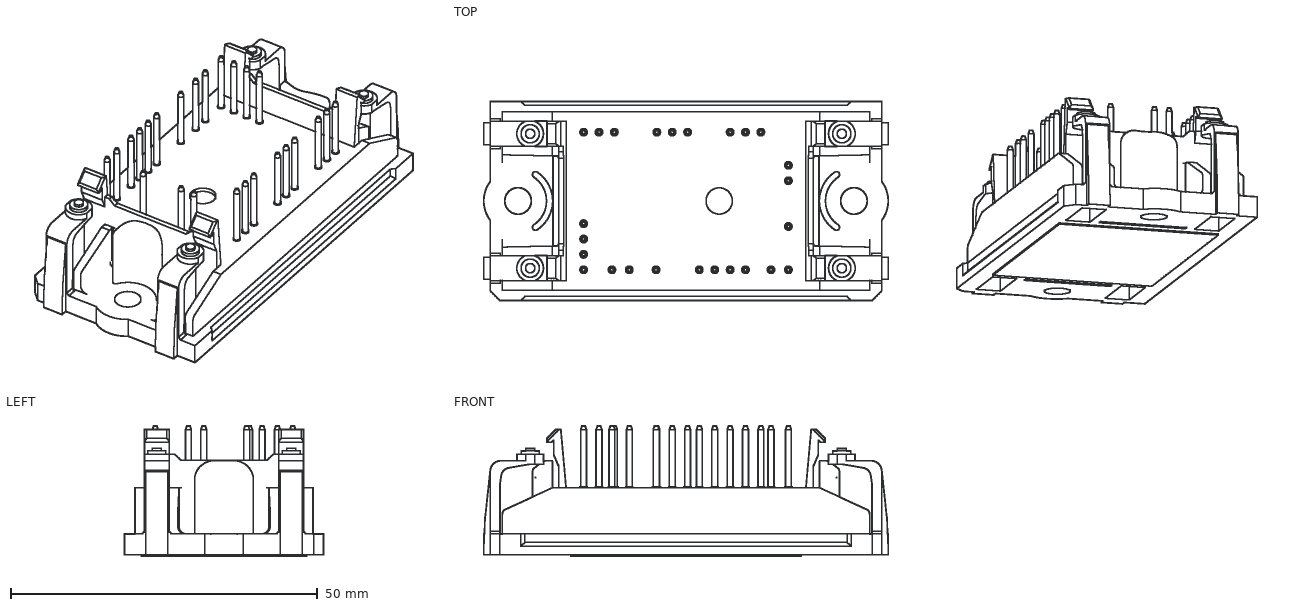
import cadquery as cq
import math

plate_height = 0.2
base_top = 3.6
body_top = 11.15
pin_top = 21.25

base_length = 63.9
base_width = 32.5
corner_chamfer = 1.6
lug_tip_x = 33.0
lug_half_width = 3.2
screw_hole_x = 27.4
screw_hole_diameter = 4.3
groove_length = 53.85
groove_floor = 1.6
groove_depth = 0.65

plate_length = 37.6
plate_width = 27.05

body_length = 59.9
body_width = 29.05
shoulder_x = 21.8
slope_end_z = 7.4
slope_fillet = 0.8
end_wall_x = 20.8
rib_tip_inner_y = 7.5
rib_root_inner_y = 7.3
rib_foot_radius = 1.2
rib_root_radius = 0.3
slit_width = 0.85
dimple_x = 5.4
dimple_diameter = 4.3
dimple_depth = 0.65

arm_width = 4.1
arm_y = 10.95
pocket_end_x = 29.95

leg_outer_x = base_length / 2
leg_inner_x = 30.3
arm_top = 15.6
arm_bottom = 15.0
arm_root_bottom = 14.2
leg_taper_start = 11.9
bracket_outer_corner = 1.8
bracket_inner_corner = 1.45
wedge_width = 3.6
wedge_top = 14.0
wedge_bend_lower_x = 32.8
wedge_bend_lower_z = 6.2
wedge_bend_upper_x = 32.75
wedge_bend_upper_z = 6.6
leg_foot_size = 0.4
boss_x = 25.4
boss_diameter = 4.35
boss_top = 16.6
collar_diameter = 3.0
collar_top = 17.15
stud_diameter = 1.5
stud_top = 17.55

latch_inner_x = 19.55
latch_top = 20.65
latch_tip_inner_x = 20.4
latch_peak_x = 21.25
hook_tip_x = 22.7
hook_tip_z = 19.2
hook_bottom = 18.55
hook_root_x = 22.0
hook_root_z = 18.9
latch_outer_x = 21.6
latch_shoulder_z = 16.5
latch_neck_z = 14.65
hook_side_chamfer = 0.4
curtain_top = 15.65
curtain_shoulder = 16.6
curtain_step_low_y = 7.0
curtain_step_high_y = 8.05

guard_radius = 5.15
guard_thickness = 1.0
guard_end_y = 4.3
guard_window_width = 9.65
guard_top = 15.6
guard_corner = 3.25
guard_edge_radius = 0.2

pin_diameter = 1.0
pin_foot_diameter = 1.2
pin_foot_height = 0.1
pin_tip_diameter = 0.5
pin_tip_height = 0.65
pin_pitch = 2.5
pin_row_y = 11.2
pin_column_x = 16.7
far_row_group_starts = [-pin_column_x, -4.75, 7.2]
far_row_group_size = 3
near_row_group_start = 2.2
near_row_group_size = 4
near_row_single_x = [-12.1, -9.25, -4.9, 13.85, pin_column_x]
left_column_size = 4
right_column_top_y = 5.8
right_column_y = [right_column_top_y, right_column_top_y - pin_pitch, -4.15]


def block(x0, x1, y0, y1, z0, z1):
    """Box given by its limits along each axis."""
    return cq.Workplane("XY").box(x1 - x0, y1 - y0, z1 - z0, centered=False).translate((x0, y0, z0))


def slab(points, y, width):
    """Closed XZ outline extruded along Y, centred on the given y."""
    return cq.Workplane("XZ", origin=(0, y + width / 2, 0)).polyline(points).close().extrude(width)


def disc(x, y, z0, z1, diameter):
    """Upright cylinder between two heights."""
    return cq.Workplane("XY", origin=(x, y, z0)).circle(diameter / 2).extrude(z1 - z0)


def both_ends(shape):
    """The shape and its mirror image across the YZ plane."""
    return shape.union(shape.mirror("YZ"))


def both_sides(shape):
    """The shape and its mirror image across the XZ plane."""
    return shape.union(shape.mirror("XZ"))


def make_base():
    height = base_top - plate_height
    base = cq.Workplane("XY", origin=(0, 0, plate_height)).rect(base_length, base_width).extrude(height)
    base = base.edges("|Z and <Y").chamfer(corner_chamfer)
    lug = (
        cq.Workplane("XY", origin=(0, 0, plate_height))
        .moveTo(-base_length / 2, lug_half_width)
        .threePointArc((-lug_tip_x, 0), (-base_length / 2, -lug_half_width))
        .close()
        .extrude(height)
    )
    groove_height = 2 * base_top
    groove = (
        cq.Workplane("XZ", origin=(0, base_width / 2, groove_floor + groove_height / 2))
        .rect(groove_length, groove_height)
        .extrude(groove_depth, taper=45)
    )
    base = base.union(both_ends(lug)).cut(both_sides(groove))
    plate = cq.Workplane("XY").rect(plate_length, plate_width).extrude(plate_height)
    return base.union(plate)


def make_body():
    half = body_length / 2
    outline = [
        (-half, base_top),
        (-half, slope_end_z),
        (-shoulder_x, body_top),
        (shoulder_x, body_top),
        (half, slope_end_z),
        (half, base_top),
    ]
    body = slab(outline, 0, body_width)
    toe = cq.selectors.BoxSelector((-half - 0.65, -half, slope_end_z - 0.65), (half + 0.65, half, slope_end_z + 0.65))
    body = body.edges("|Y").edges(toe).fillet(slope_fillet)
    bay_outline = [
        (-half, -rib_tip_inner_y),
        (-half, rib_tip_inner_y),
        (-end_wall_x, rib_root_inner_y),
        (-end_wall_x, -rib_root_inner_y),
    ]
    bay = cq.Workplane("XY", origin=(0, 0, base_top)).polyline(bay_outline).close()
    bay = bay.extrude(body_top - base_top)
    bay = bay.faces("<Z").edges("<Y or >Y").fillet(rib_foot_radius)
    dimple = disc(dimple_x, 0, body_top - dimple_depth, body_top, dimple_diameter)
    return body.cut(both_ends(bay)).cut(dimple)


def make_end_openings():
    """Screw hole, slit and spring pockets, all passing through the base."""
    hole = disc(-screw_hole_x, 0, 0, body_top, screw_hole_diameter)
    slit_half = rib_root_inner_y
    slit_top = base_top + rib_foot_radius
    slit = block(-end_wall_x - slit_width, -end_wall_x, -slit_half, slit_half, 0, slit_top)
    arm_half = arm_width / 2
    pocket = block(-pocket_end_x, -end_wall_x, arm_y - arm_half, arm_y + arm_half, 0, body_top)
    return both_ends(hole.union(slit).union(both_sides(pocket)))


def make_rib_root():
    """Concave upright fillet where a rib meets the end wall."""
    x0 = -end_wall_x - rib_root_radius
    y0 = rib_root_inner_y - rib_root_radius
    corner = block(x0, -end_wall_x, y0, rib_root_inner_y, base_top, body_top)
    return corner.cut(disc(x0, y0, base_top, body_top, 2 * rib_root_radius))


def make_bracket():
    outline = [
        (-leg_outer_x, plate_height),
        (-leg_outer_x, arm_top),
        (-boss_x, arm_top),
        (-boss_x, arm_bottom),
        (-pocket_end_x, arm_root_bottom),
        (-leg_inner_x, leg_taper_start),
        (-leg_inner_x, plate_height),
    ]
    bracket = slab(outline, arm_y, arm_width)
    outer_corner = cq.selectors.NearestToPointSelector((-leg_outer_x, arm_y, arm_top))
    inner_corner = cq.selectors.NearestToPointSelector((-pocket_end_x, arm_y, arm_root_bottom))
    bracket = bracket.edges("|Y").edges(outer_corner).fillet(bracket_outer_corner)
    bracket = bracket.edges("|Y").edges(inner_corner).fillet(bracket_inner_corner)
    wedge = slab(
        [
            (-leg_outer_x, plate_height),
            (-lug_tip_x, plate_height),
            (-wedge_bend_lower_x, wedge_bend_lower_z),
            (-wedge_bend_upper_x, wedge_bend_upper_z),
            (-leg_outer_x, wedge_top),
        ],
        arm_y,
        wedge_width,
    )
    arm_half = arm_width / 2
    foot = (
        cq.Workplane("YZ", origin=(-leg_outer_x, arm_y, base_top))
        .polyline([
            (-arm_half - leg_foot_size, 0),
            (arm_half + leg_foot_size, 0),
            (arm_half, leg_foot_size),
            (-arm_half, leg_foot_size),
        ])
        .close()
        .extrude(leg_outer_x - leg_inner_x)
    )
    boss = disc(-boss_x, arm_y, arm_bottom, boss_top, boss_diameter)
    boss = boss.intersect(block(-base_length, 0, arm_y - arm_half, arm_y + arm_half, 0, pin_top))
    collar = disc(-boss_x, arm_y, boss_top, collar_top, collar_diameter)
    stud = disc(-boss_x, arm_y, collar_top, stud_top, stud_diameter)
    return bracket.union(wedge).union(foot).union(boss).union(collar).union(stud)


def make_latch():
    outline = [
        (-end_wall_x, body_top),
        (-latch_inner_x, body_top),
        (-latch_tip_inner_x, latch_top),
        (-latch_peak_x, latch_top),
        (-hook_tip_x, hook_tip_z),
        (-hook_tip_x, hook_bottom),
        (-hook_root_x, hook_bottom),
        (-latch_outer_x, hook_root_z),
        (-latch_outer_x, latch_shoulder_z),
        (-end_wall_x, latch_neck_z),
    ]
    latch = slab(outline, arm_y, arm_width)
    hook_slope = cq.selectors.BoxSelector(
        (-hook_tip_x, 0, hook_tip_z), (-latch_peak_x, base_width, latch_top)
    )
    side_edges = latch.faces("<Y or >Y").edges(hook_slope)
    return side_edges.chamfer(hook_side_chamfer)


def make_curtain():
    """Wall joining the two latches of one end, raised in a sloping step beside each latch."""
    lean = (latch_tip_inner_x - latch_inner_x) / (latch_top - body_top)
    top_inner_x = latch_inner_x + lean * (curtain_shoulder - body_top)
    outline = [
        (-end_wall_x, body_top),
        (-latch_inner_x, body_top),
        (-top_inner_x, curtain_shoulder),
        (-end_wall_x, curtain_shoulder),
    ]
    wall = slab(outline, 0, 2 * arm_y - arm_width)
    step = (
        cq.Workplane("YZ", origin=(-base_length / 2, 0, 0))
        .polyline([
            (-curtain_step_low_y, curtain_top),
            (curtain_step_low_y, curtain_top),
            (curtain_step_high_y, curtain_shoulder),
            (-curtain_step_high_y, curtain_shoulder),
        ])
        .close()
        .extrude(base_length / 2)
    )
    return wall.cut(step)


def make_guard():
    """Round-ended part of a ring, its upper corners and top edges rounded off."""
    half = guard_thickness / 2
    end_angle = math.asin(guard_end_y / guard_radius)
    height = guard_top - base_top

    def at(radius, angle):
        return (-screw_hole_x + radius * math.cos(angle), radius * math.sin(angle))

    def end_tip(side):
        x, y = at(guard_radius, side * end_angle)
        return (x - half * math.sin(end_angle), y + side * half * math.cos(end_angle))

    outer = guard_radius + half
    inner = guard_radius - half
    guard = (
        cq.Workplane("XY", origin=(0, 0, base_top))
        .moveTo(*at(outer, -end_angle))
        .threePointArc(at(outer, 0), at(outer, end_angle))
        .threePointArc(end_tip(1), at(inner, end_angle))
        .threePointArc(at(inner, 0), at(inner, -end_angle))
        .threePointArc(end_tip(-1), at(outer, -end_angle))
        .close()
        .extrude(height)
    )
    half_width = guard_window_width / 2
    window = block(-screw_hole_x, -end_wall_x, -half_width, half_width, base_top, guard_top)
    guard = guard.intersect(window.edges("|X and >Z").fillet(guard_corner))
    rim_bottom = guard_top - guard_corner
    rim = cq.selectors.BoxSelector(
        (-screw_hole_x, -half_width, rim_bottom), (-end_wall_x, half_width, guard_top + 0.65)
    )
    return guard.edges(rim).fillet(guard_edge_radius)


def make_pin(x, y):
    tip_start = pin_top - pin_tip_height
    foot = disc(x, y, body_top, body_top + pin_foot_height, pin_foot_diameter)
    shank = disc(x, y, body_top, tip_start, pin_diameter)
    tip = (
        cq.Workplane("XY", origin=(x, y, tip_start))
        .circle(pin_diameter / 2)
        .workplane(offset=pin_tip_height)
        .circle(pin_tip_diameter / 2)
        .loft()
    )
    return foot.union(shank).union(tip)


result = make_base().union(make_body()).cut(make_end_openings())
result = result.union(both_ends(both_sides(make_rib_root())))
result = result.union(both_ends(both_sides(make_bracket())))
result = result.union(both_ends(both_sides(make_latch())))
result = result.union(both_ends(make_curtain()))
result = result.union(both_ends(make_guard()))

pin_places = []
for start in far_row_group_starts:
    pin_places += [(start + i * pin_pitch, pin_row_y) for i in range(far_row_group_size)]
pin_places += [(near_row_group_start + i * pin_pitch, -pin_row_y) for i in range(near_row_group_size)]
pin_places += [(x, -pin_row_y) for x in near_row_single_x]
pin_places += [(-pin_column_x, -pin_row_y + i * pin_pitch) for i in range(left_column_size)]
pin_places += [(pin_column_x, y) for y in right_column_y]
for pin_x, pin_y in pin_places:
    result = result.union(make_pin(pin_x, pin_y))